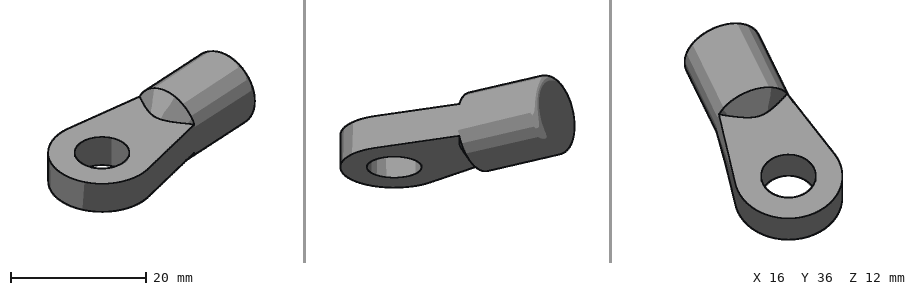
import cadquery as cq
import math

total_length = 36.0
eye_diameter = 16.0
hole_diameter = 8.1
plate_thickness = 5.1
shank_diameter = 12.0
shank_length = 13.5
shank_edge_radius = 1.0
cone_length = 4.25

eye_radius = eye_diameter / 2
shank_radius = shank_diameter / 2
half_thickness = plate_thickness / 2
shank_end_y = total_length - eye_radius
shoulder_y = shank_end_y - shank_length

shoulder_distance = math.hypot(shank_radius, shoulder_y)
tangent_angle = math.atan2(shoulder_y, shank_radius) - math.acos(eye_radius / shoulder_distance)
tangent_x = eye_radius * math.cos(tangent_angle)
tangent_y = eye_radius * math.sin(tangent_angle)


def make_shank():
    """Round shank with a rounded end and a cone running into the plate."""
    cylinder = (
        cq.Workplane("XZ", origin=(0, shank_end_y, 0))
        .circle(shank_radius)
        .extrude(shank_length)
        .faces(">Y")
        .edges()
        .fillet(shank_edge_radius)
    )
    cone = cq.Workplane(
        cq.Solid.makeCone(
            shank_radius, 0, cone_length, pnt=cq.Vector(0, shoulder_y, 0), dir=cq.Vector(0, -1, 0)
        )
    )
    return cylinder.union(cone)


def make_eye():
    """Flat plate rounded about the hole, cut off where the neck begins."""
    return (
        cq.Workplane("XY", origin=(0, 0, -half_thickness))
        .moveTo(-tangent_x, tangent_y)
        .threePointArc((0, -eye_radius), (tangent_x, tangent_y))
        .close()
        .extrude(plate_thickness)
    )


def neck_section(y, middle_x, face_x):
    """Closed section with flat top and bottom and sides bulging to middle_x."""
    corners = [
        cq.Vector(x, y, z)
        for x, z in (
            (-face_x, half_thickness),
            (face_x, half_thickness),
            (face_x, -half_thickness),
            (-face_x, -half_thickness),
        )
    ]

    def side(start, end, x):
        if middle_x == face_x:
            return cq.Edge.makeLine(start, end)
        return cq.Edge.makeThreePointArc(start, cq.Vector(x, y, 0), end)

    return cq.Wire.assembleEdges([
        cq.Edge.makeLine(corners[0], corners[1]),
        side(corners[1], corners[2], middle_x),
        cq.Edge.makeLine(corners[2], corners[3]),
        side(corners[3], corners[0], -middle_x),
    ])


def make_neck():
    """Ruled transition from the round shoulder to the straight-sided eye."""
    shoulder_face_x = math.sqrt(shank_radius**2 - half_thickness**2)
    shoulder = neck_section(shoulder_y, shank_radius, shoulder_face_x)
    eye_side = neck_section(tangent_y, tangent_x, tangent_x)
    return cq.Workplane(cq.Solid.makeLoft([shoulder, eye_side], True))


hole = (
    cq.Workplane("XY", origin=(0, 0, -half_thickness))
    .circle(hole_diameter / 2)
    .extrude(plate_thickness)
)

result = make_shank().union(make_neck()).union(make_eye()).cut(hole)